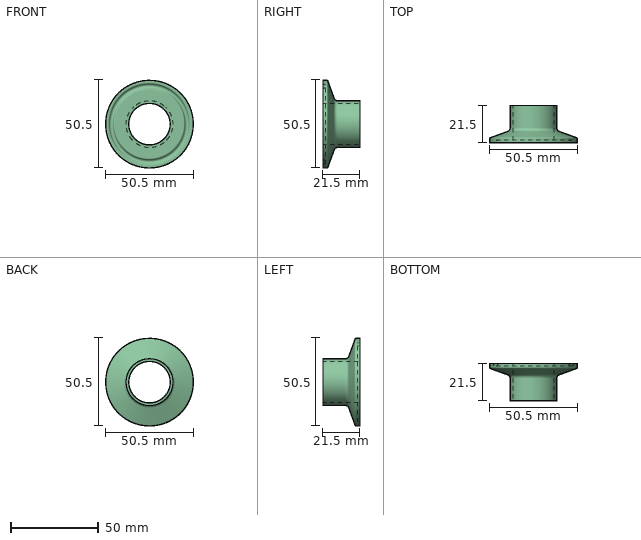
import cadquery as cq
import math

flange_radius = 50.5 / 2
tube_radius = 26.9 / 2
bore_radius = 23.7 / 2
length = 21.5
rim_height = 2.85
cone_angle = math.radians(20)
neck_fillet = 2.0
rim_fillet = 0.8

groove_center_radius = 21.75
groove_depth = 1.6
groove_bottom_radius = 1.2
groove_lip_radius = 0.8
groove_wall_angle = math.radians(20)


def make_body():
    """Revolve the tube and conical flange, then round the two cone edges."""
    cone_height = (flange_radius - tube_radius) * math.tan(cone_angle)
    neck_height = rim_height + cone_height
    body = (
        cq.Workplane("XY")
        .moveTo(bore_radius, 0)
        .lineTo(flange_radius, 0)
        .lineTo(flange_radius, rim_height)
        .lineTo(tube_radius, neck_height)
        .lineTo(tube_radius, length)
        .lineTo(bore_radius, length)
        .close()
        .revolve(360, (0, 0, 0), (0, 1, 0))
    )
    body = body.edges(cq.selectors.RadiusNthSelector(-1)).edges(">Y").fillet(rim_fillet)
    neck_point = (0, neck_height, tube_radius)
    return body.edges(cq.selectors.NearestToPointSelector(neck_point)).fillet(neck_fillet)


def make_groove():
    """Ring with a round bottom, short sloped walls and rounded lips, all tangent."""
    sine = math.sin(groove_wall_angle)
    cosine = math.cos(groove_wall_angle)
    radius_sum = groove_lip_radius + groove_bottom_radius
    wall_length = (groove_depth - radius_sum * (1 - sine)) / cosine
    half_width = radius_sum * cosine + wall_length * sine

    lip_mid_angle = (math.pi / 2 - groove_wall_angle) / 2
    lip_mid_offset = half_width - groove_lip_radius * math.sin(lip_mid_angle)
    lip_mid_depth = groove_lip_radius * (1 - math.cos(lip_mid_angle))
    wall_top_offset = half_width - groove_lip_radius * cosine
    wall_top_depth = groove_lip_radius * (1 - sine)
    wall_end_offset = groove_bottom_radius * cosine
    wall_end_depth = groove_depth - groove_bottom_radius * (1 - sine)

    def at(offset, depth):
        return (groove_center_radius + offset, depth)

    return (
        cq.Workplane("XY")
        .moveTo(*at(-half_width, 0))
        .threePointArc(at(-lip_mid_offset, lip_mid_depth), at(-wall_top_offset, wall_top_depth))
        .lineTo(*at(-wall_end_offset, wall_end_depth))
        .threePointArc(at(0, groove_depth), at(wall_end_offset, wall_end_depth))
        .lineTo(*at(wall_top_offset, wall_top_depth))
        .threePointArc(at(lip_mid_offset, lip_mid_depth), at(half_width, 0))
        .close()
        .revolve(360, (0, 0, 0), (0, 1, 0))
    )


result = make_body().cut(make_groove())